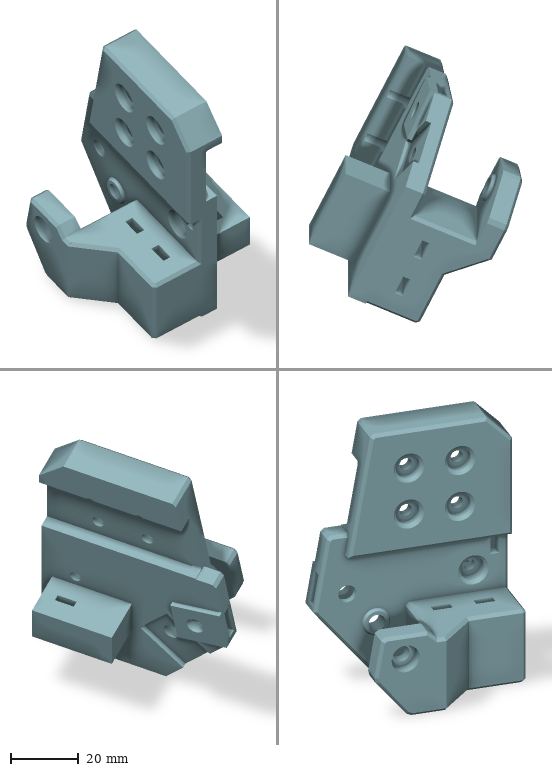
import cadquery as cq
import math

WIDTH = 60.75
HEIGHT = 82.3
DEPTH = 47.9
CHAMFER = 1.0
LEFT_SLANT = math.radians(10)

PLATE_FRONT = 26.9
PLATE_BACK = 33.5
PLATE_TOP = 49.1
CORNER_Z = 24.6
BEVEL_X = 20.3

UPPER_FRONT = 23.05
UPPER_BACK = 35.4
UPPER_BOTTOM = 42.7
UPPER_LEFT = 9.55
UPPER_CORNER = 8.0
RECESS_Y = 29.5
RECESS_BOTTOM = 49.3
RECESS_TOP = 71.2
RECESS_RADIUS = 1.0
FILLET_END_X = 13.5

BLOCK_LEFT = 28.5
BLOCK_TOP = 24.0
BLOCK_FRONT = 10.5
BLOCK_RAMP_X = 32.1
ARM_BACK = 6.6
ARM_TOP = 26.75
ARM_LEFT = 9.6
ARM_STEP_X = 26.3
TIE_SLOT_SIZE = (6.0, 2.55)
TIE_SLOT_Y = 20.25
TIE_SLOT_XS = (37.5, 50.9)

REAR_LEFT = 31.45
REAR_RIGHT = 57.3
REAR_BOTTOM = 15.8
REAR_TOP = 27.75
NUT_SLOT_SIZE = (6.1, 2.05)
NUT_SLOT_XY = (49.7, 40.5)
NUT_SLOT_DEPTH = 9.0

SCREW_XS = (28.2, 44.2)
SCREW_ZS = (54.75, 69.8)
SCREW_HOLE = 3.8
LOWER_SCREW = (49.7, 31.3)
LOWER_SCREW_HOLE = 3.5
LOWER_HEAD_DEPTH = 3.95
HEAD_BORE = 7.5
HEAD_DEPTH = 3.0

PIVOT = (19.3, 19.2)
PIVOT_HOLE = 5.2
PIVOT_BORE = 8.7
PIVOT_BORE_DEPTH = 3.95
BOSS_TOP = 7.5
BOSS_HEIGHT = 1.0
PIVOT_POCKET_WIDTH = 13.7
PIVOT_POCKET_DEPTH = 1.7

SIDE_HOLE = (10.3, 29.6)
SIDE_HOLE_DIAMETER = 5.5
SIDE_SLOT_LENGTH = 14.5
SIDE_SLOT_HEIGHT = 10.05
SIDE_SLOT_FRONT = 29.15
SIDE_SLOT_BACK = 32.2
PAD_WALL = 1.7
PAD_BACK = 35.1

FRONT_POCKET_X = (55.0, 57.6)
FRONT_POCKET_BOTTOM = 35.65
FRONT_POCKET_DEPTH = 3.3


def slant_x(base_x, rise):
    """X on a left edge that starts at base_x, after climbing by rise."""
    return base_x + rise * math.tan(LEFT_SLANT)


LEFT_INWARD = (math.cos(LEFT_SLANT), -math.sin(LEFT_SLANT))
HOLE_SETBACK = (SIDE_HOLE[0] - slant_x(0, SIDE_HOLE[1] - CORNER_Z)) * math.cos(LEFT_SLANT)


def bevel_z(x):
    """Height of the lower left bevel at x."""
    return CORNER_Z * (1 - x / BEVEL_X)


def xz_prism(points, front, back):
    """Prism with an XZ outline between two Y positions."""
    return cq.Workplane("XZ", origin=(0, front, 0)).polyline(points).close().extrude(front - back)


def y_cylinder(center, diameter, front, back):
    """Cylinder along Y."""
    plane = cq.Workplane("XZ", origin=(0, front, 0))
    return plane.center(*center).circle(diameter / 2).extrude(front - back)


def y_cone(center, diameter, end_diameter, front, back):
    """Cone along Y, from diameter at front to end_diameter at back."""
    x, z = center
    direction = cq.Vector(0, math.copysign(1, back - front), 0)
    height = abs(back - front)
    start = cq.Vector(x, front, z)
    return cq.Workplane(cq.Solid.makeCone(diameter / 2, end_diameter / 2, height, start, direction))


def box(x_range, y_range, z_range):
    """Box between pairs of limits."""
    sizes = [high - low for low, high in (x_range, y_range, z_range)]
    return cq.Workplane().box(*sizes, centered=False).translate((x_range[0], y_range[0], z_range[0]))


def plate(points, front, back, cut_corners):
    """Plate with some corners cut and a chamfered front rim."""
    body = xz_prism(points, front, back)
    middle = (front + back) / 2
    for x, z in cut_corners:
        body = body.edges(cq.selectors.NearestToPointSelector((x, middle, z))).chamfer(CHAMFER)
    return body.faces("<Y").chamfer(CHAMFER)


def lower_plate():
    top_left = (slant_x(0, PLATE_TOP - CORNER_Z), PLATE_TOP)
    outline = [(BEVEL_X, 0), (WIDTH, 0), (WIDTH, PLATE_TOP), top_left, (0, CORNER_Z)]
    return plate(outline, PLATE_FRONT, PLATE_BACK, [top_left])


def upper_plate():
    top_left = (slant_x(UPPER_LEFT, HEIGHT - UPPER_BOTTOM), HEIGHT)
    outline = [
        (UPPER_LEFT, UPPER_BOTTOM),
        (WIDTH, UPPER_BOTTOM),
        (WIDTH, HEIGHT - UPPER_CORNER),
        (WIDTH - UPPER_CORNER, HEIGHT),
        top_left,
    ]
    body = plate(outline, UPPER_FRONT, UPPER_BACK, [top_left])
    recess = box((0, WIDTH), (RECESS_Y, UPPER_BACK), (RECESS_BOTTOM, RECESS_TOP))
    recess = recess.faces("<Y").edges("|X").fillet(RECESS_RADIUS)
    square_floor = box(
        (FILLET_END_X, WIDTH), (RECESS_Y, UPPER_BACK), (RECESS_BOTTOM, RECESS_BOTTOM + RECESS_RADIUS)
    )
    recess = recess.union(square_floor)
    below_recess = box((0, WIDTH), (PLATE_BACK, UPPER_BACK), (UPPER_BOTTOM, RECESS_BOTTOM))
    return body.cut(recess).cut(below_recess)


def front_block():
    outline = [
        (BLOCK_LEFT, PLATE_BACK),
        (BLOCK_LEFT, 0),
        (BLOCK_RAMP_X, 0),
        (BLOCK_RAMP_X + BLOCK_FRONT, BLOCK_FRONT),
        (WIDTH, BLOCK_FRONT),
        (WIDTH, PLATE_BACK),
    ]
    body = cq.Workplane("XY").polyline(outline).close().extrude(BLOCK_TOP)
    right_edge = cq.selectors.NearestToPointSelector((WIDTH, BLOCK_FRONT, BLOCK_TOP / 2))
    body = body.edges(right_edge).chamfer(CHAMFER)
    return body.faces("<Z or >Z").edges("not >Y").chamfer(CHAMFER)


def arm():
    corner_z = bevel_z(ARM_LEFT)
    top_left = (slant_x(ARM_LEFT, ARM_TOP - corner_z), ARM_TOP)
    step_end = BLOCK_LEFT + CHAMFER
    outline = [
        (BEVEL_X, 0),
        (BLOCK_RAMP_X, 0),
        (BLOCK_RAMP_X, BLOCK_TOP),
        (step_end, BLOCK_TOP),
        (ARM_STEP_X, ARM_TOP),
        top_left,
        (ARM_LEFT, corner_z),
    ]
    return plate(outline, 0, ARM_BACK, [top_left, (ARM_LEFT, corner_z), (BEVEL_X, 0)])


def bosses():
    """Two conical bosses that face each other across the gap behind the arm."""
    on_arm = y_cone(PIVOT, PIVOT_BORE, BOSS_TOP, ARM_BACK, ARM_BACK + BOSS_HEIGHT)
    on_plate = y_cone(PIVOT, PIVOT_BORE, BOSS_TOP, PLATE_FRONT, PLATE_FRONT - BOSS_HEIGHT)
    return on_arm.union(on_plate)


def rear_block():
    body = box((REAR_LEFT, REAR_RIGHT), (PLATE_BACK, DEPTH), (REAR_BOTTOM, REAR_TOP))
    plane = cq.Workplane("XY", origin=(*NUT_SLOT_XY, REAR_TOP))
    return body.cut(plane.rect(*NUT_SLOT_SIZE).extrude(-NUT_SLOT_DEPTH))


def inward_box(center, direction, reach_back, reach_in, width, front, back):
    """Box between two Y positions, running through center along an XZ direction."""
    x, z = center
    plane = cq.Plane(origin=(x, front, z), xDir=(direction[0], 0, direction[1]), normal=(0, -1, 0))
    body = cq.Workplane(plane).center((reach_in - reach_back) / 2, 0)
    return body.rect(reach_in + reach_back, width).extrude(front - back)


def side_pad():
    inner_reach = SIDE_SLOT_LENGTH + PAD_WALL - HOLE_SETBACK
    height = SIDE_SLOT_HEIGHT + 2 * PAD_WALL
    return inward_box(SIDE_HOLE, LEFT_INWARD, HOLE_SETBACK, inner_reach, height, PLATE_BACK, PAD_BACK)


def side_slot():
    inner_reach = SIDE_SLOT_LENGTH - HOLE_SETBACK
    return inward_box(
        SIDE_HOLE, LEFT_INWARD, WIDTH, inner_reach, SIDE_SLOT_HEIGHT, SIDE_SLOT_FRONT, SIDE_SLOT_BACK
    )


def pivot_pocket():
    """Pocket in the back of the lower plate, square to the bevel and open through it."""
    bevel_length = math.hypot(CORNER_Z, BEVEL_X)
    inward = (CORNER_Z / bevel_length, BEVEL_X / bevel_length)
    half = PIVOT_POCKET_WIDTH / 2
    front = PLATE_BACK - PIVOT_POCKET_DEPTH
    return inward_box(PIVOT, inward, WIDTH, half, PIVOT_POCKET_WIDTH, front, PLATE_BACK)


def screw_hole(center, diameter, front, head_depth):
    """Through hole with a counterbore and a chamfered rim."""
    rim = HEAD_BORE + 2 * CHAMFER
    hole = y_cylinder(center, diameter, front, DEPTH)
    hole = hole.union(y_cylinder(center, HEAD_BORE, front, front + head_depth))
    return hole.union(y_cone(center, rim, HEAD_BORE, front, front + CHAMFER))


plates = lower_plate().cut(pivot_pocket()).union(upper_plate())
result = plates.union(front_block()).union(arm()).union(bosses()).union(rear_block()).union(side_pad())

for screw_x in SCREW_XS:
    for screw_z in SCREW_ZS:
        result = result.cut(screw_hole((screw_x, screw_z), SCREW_HOLE, UPPER_FRONT, HEAD_DEPTH))
result = result.cut(screw_hole(LOWER_SCREW, LOWER_SCREW_HOLE, PLATE_FRONT, LOWER_HEAD_DEPTH))

result = result.cut(y_cylinder(PIVOT, PIVOT_HOLE, 0, DEPTH))
result = result.cut(y_cylinder(PIVOT, PIVOT_BORE, 0, PIVOT_BORE_DEPTH))

result = result.cut(side_slot())
result = result.cut(y_cylinder(SIDE_HOLE, SIDE_HOLE_DIAMETER, PLATE_FRONT, DEPTH))

for slot_x in TIE_SLOT_XS:
    slot = cq.Workplane("XY").center(slot_x, TIE_SLOT_Y).rect(*TIE_SLOT_SIZE).extrude(BLOCK_TOP)
    result = result.cut(slot)

front_pocket = box(
    FRONT_POCKET_X,
    (PLATE_FRONT, PLATE_FRONT + FRONT_POCKET_DEPTH),
    (FRONT_POCKET_BOTTOM, UPPER_BOTTOM),
)
result = result.cut(front_pocket)